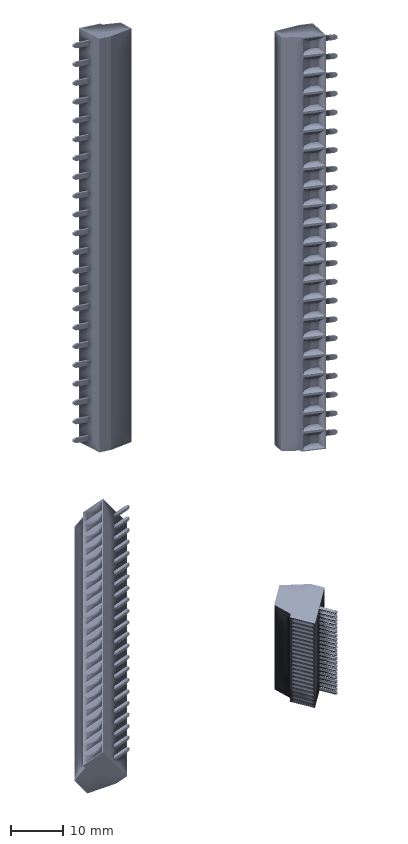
import cadquery as cq

POLE_COUNT = 22
LENGTH = 83.8
PITCH = LENGTH / POLE_COUNT
BODY_WIDTH = 7.3
OVERALL_DEPTH = 12.0
PIN_PROTRUSION = 3.5
BODY_DEPTH = OVERALL_DEPTH - PIN_PROTRUSION

SHELF_HEIGHT = 4.95
SHELF_WIDTH = 0.7
SHELF_ROUND = 0.25
SLOPE_START_HEIGHT = 2.7
CREST_LEFT = 1.6
CREST_RIGHT = 5.5
CREST_ROUND = 0.2

FUNNEL_DEPTH = 1.0
MOUTH_BOTTOM = 0.25
MOUTH_TOP = 4.5
MOUTH_LENGTH = 3.35
RAMP_DEPTH = 0.6
RAMP_TOP = 4.3
FLOOR_BOTTOM = 1.2
FLOOR_TOP = 2.85
FLOOR_LENGTH = 1.7

PIN_X = 3.5
PIN_THICKNESS = 0.5
PIN_WIDTH = 1.0
TIP_CHAMFER_LENGTH = 0.5
TIP_CHAMFER_WIDTH = 0.25
PIN_EMBED = 0.8


def make_body():
    """Extrude the tapered housing section along Z."""
    outline = [
        (0, 0),
        (BODY_WIDTH, 0),
        (BODY_WIDTH, SLOPE_START_HEIGHT),
        (CREST_RIGHT, BODY_DEPTH),
        (CREST_LEFT, BODY_DEPTH),
        (SHELF_WIDTH, SHELF_HEIGHT),
        (0, SHELF_HEIGHT),
    ]
    housing = cq.Workplane("XY").polyline(outline).close().extrude(LENGTH)
    housing = housing.edges("|Z and >Y").fillet(CREST_ROUND)
    shelf_root = cq.selectors.NearestToPointSelector((SHELF_WIDTH, SHELF_HEIGHT, LENGTH / 2))
    return housing.edges(shelf_root).fillet(SHELF_ROUND)


def make_funnel(z):
    """Wire entry centred at z: a ramped section whose two ends also taper inward."""
    section = [
        (0, MOUTH_BOTTOM),
        (FUNNEL_DEPTH, FLOOR_BOTTOM),
        (FUNNEL_DEPTH, FLOOR_TOP),
        (RAMP_DEPTH, RAMP_TOP),
        (0, MOUTH_TOP),
    ]
    ramp = (
        cq.Workplane("XY", origin=(0, 0, z - MOUTH_LENGTH / 2))
        .polyline(section)
        .close()
        .extrude(MOUTH_LENGTH)
    )
    end_taper = [
        (0, z - MOUTH_LENGTH / 2),
        (FUNNEL_DEPTH, z - FLOOR_LENGTH / 2),
        (FUNNEL_DEPTH, z + FLOOR_LENGTH / 2),
        (0, z + MOUTH_LENGTH / 2),
    ]
    wedge = cq.Workplane("XZ").polyline(end_taper).close().extrude(-BODY_DEPTH)
    return ramp.intersect(wedge)


def make_pin(z):
    """Flat solder pin centred at z, with its tip narrowed along Z."""
    half_width = PIN_WIDTH / 2
    half_tip = half_width - TIP_CHAMFER_WIDTH
    shoulder_y = TIP_CHAMFER_LENGTH - PIN_PROTRUSION
    blade = [
        (PIN_EMBED, z - half_width),
        (PIN_EMBED, z + half_width),
        (shoulder_y, z + half_width),
        (-PIN_PROTRUSION, z + half_tip),
        (-PIN_PROTRUSION, z - half_tip),
        (shoulder_y, z - half_width),
    ]
    return (
        cq.Workplane("YZ", origin=(PIN_X - PIN_THICKNESS / 2, 0, 0))
        .polyline(blade)
        .close()
        .extrude(PIN_THICKNESS)
    )


result = make_body()
for pole in range(POLE_COUNT):
    pole_z = (pole + 0.5) * PITCH
    result = result.cut(make_funnel(pole_z)).union(make_pin(pole_z))